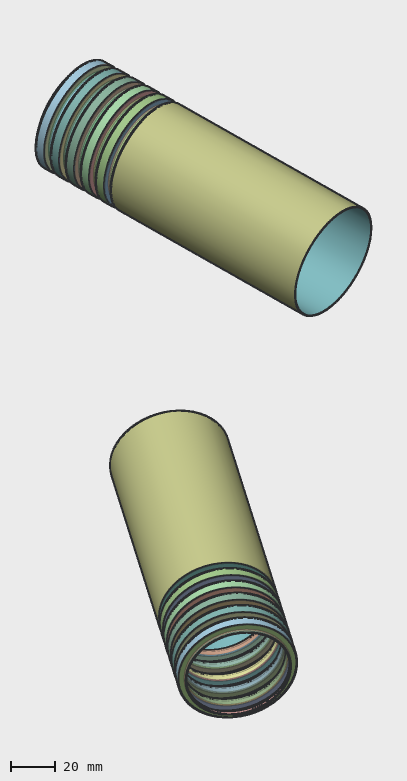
import cadquery as cq

length = 150.0
outer_diameter = 54.5
wall = 0.5

root_diameter = 48.0
ring_count = 5
first_ring_start = 1.6
ring_width = 5.2
ring_pitch = 8.5
plain_tube_start = first_ring_start + ring_count * ring_pitch
corner_radius = 0.5

start_x = -length / 2
end_x = length / 2
outer_radius = outer_diameter / 2
root_radius = root_diameter / 2


def revolve_about_x(points):
    """Revolve a closed (axial, radial) outline about the X axis."""
    outline = cq.Workplane("XY").polyline(points).close()
    return outline.revolve(360, (0, 0, 0), (1, 0, 0))


def corrugated_solid(crest_radius, valley_radius, flank_shift):
    """Solid bar whose ring flanks are moved inward by flank_shift."""
    points = [(start_x, 0), (start_x, valley_radius)]
    for index in range(ring_count):
        ring_start = start_x + first_ring_start + index * ring_pitch
        left = ring_start + flank_shift
        right = ring_start + ring_width - flank_shift
        points += [
            (left, valley_radius),
            (left, crest_radius),
            (right, crest_radius),
            (right, valley_radius),
        ]
    shoulder = start_x + plain_tube_start + flank_shift
    points += [
        (shoulder, valley_radius),
        (shoulder, crest_radius),
        (end_x, crest_radius),
        (end_x, 0),
    ]
    return revolve_about_x(points)


def round_corners(body, largest_radius):
    """Round the circular corners inside the tube ends, up to largest_radius."""
    corners = cq.selectors.BoxSelector(
        (start_x + wall, -largest_radius, -largest_radius),
        (end_x - wall, largest_radius, largest_radius),
        boundingbox=True,
    )
    return body.edges("%CIRCLE").edges(corners).fillet(corner_radius)


outer_form = round_corners(corrugated_solid(outer_radius, root_radius, 0), outer_diameter)

bore_radius = root_radius - wall
inner_form = round_corners(
    corrugated_solid(outer_radius - wall, bore_radius, wall),
    bore_radius + wall,
)
result = outer_form.cut(inner_form)